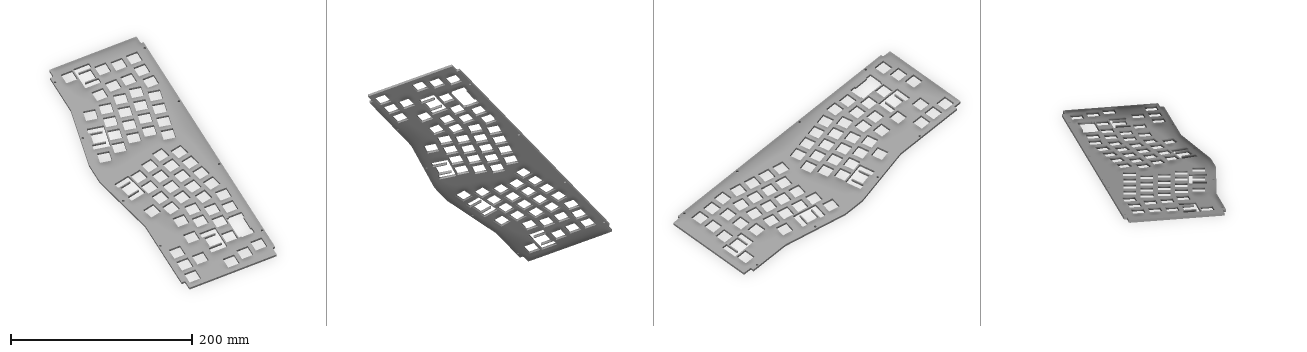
import cadquery as cq
import math


length = 348
width = 132.0
thickness = 3.0
tilt = 12
wing_axis_x = -19.5
front_tip_half_length = 13.5
front_slope_end = 92.5
ear_length = 10.8
rear_ear_step = 3.3
front_ear_step = 4.2
ear_fillet = 1.0

four_key_span = 76.2
pitch = four_key_span / 4
well_size = 14.0
home_row_from_rear = 57.5
raised_key_shift = 1.55
quarter_row = 0.25

slot_inner = 8.5
slot_outer = 15.3
slot_bar_end = 10.5
slot_far_end = 9.0
slot_fillet = 0.7
backspace_half_length = 16.5
backspace_lower_half_length = slot_outer
backspace_rear = 8.5
backspace_side_end = 7.5
backspace_front = 10.8
backspace_lip_half_length = 9.0

screw_diameter = 2.7
rear_screw_y = 63.5
front_screw_y = -47.0
tip_screw_y = -55.0
outer_left_screw_x = -155.2
inner_left_screw_x = -70.3
inner_right_screw_x = 30.0
rear_right_screw_x = 136.0
front_right_screw_x = 105.8

rear_y = width / 2
tip_y = -width / 2
home_row_y = rear_y - home_row_from_rear
front_y = tip_y + (front_slope_end - front_tip_half_length) * math.tan(math.radians(tilt))
end_x = length / 2


def row_y(rows_behind_home):
    return home_row_y + rows_behind_home * pitch


straight_rows = [
    (-147.5, 2, (0, 1)),
    (-147.0, 1, (0, 1.25)),
    (-149.0, 0, (0, 1.375)),
    (-117.5, -1, (0,)),
    (-155.2, -2, (0,)),
    (89.5, 2, (0,)),
    (84.2, 1, (0, 1, 2.25)),
    (74.0, 0, (0, 1)),
    (83.5, -1, (0, 1.375)),
    (151.7, 2 + quarter_row, (0,)),
    (156.0, 1 + quarter_row, (0,)),
    (160.0, 0 + quarter_row, (0,)),
    (141.0, -1 - quarter_row, (0,)),
    (122.0, -2 - quarter_row, (0, 1, 2)),
]
raised_key_from_axis = 90.0
shift_x = -148.0
enter_x = 124.2
backspace_x = 118.3

wing_corner_from_axis = 83.0
wing_corner_y = 27.0
left_wing_rows = [
    (1, 0.5, 4),
    (0, 0, 4),
    (-1, 0.25, 4),
    (-2, 0.75, 4),
    (-3, 1, 1),
    (-3, 4.25, 1),
]
right_wing_rows = [
    (1, 0.5, 4),
    (0, 0, 5),
    (-1, 0.75, 4),
    (-2, 0.5, 4),
    (-3, 1, 1),
]
space_row = -3
left_space_column = 2.75
right_space_column = 3.125


def plate():
    ear_x = end_x - ear_length
    ear_rear_y = rear_y - rear_ear_step
    ear_front_y = front_y + front_ear_step
    outline = [
        (-ear_x, rear_y),
        (ear_x, rear_y),
        (ear_x, ear_rear_y),
        (end_x, ear_rear_y),
        (end_x, ear_front_y),
        (ear_x, ear_front_y),
        (ear_x, front_y),
        (wing_axis_x + front_slope_end, front_y),
        (wing_axis_x + front_tip_half_length, tip_y),
        (wing_axis_x - front_tip_half_length, tip_y),
        (wing_axis_x - front_slope_end, front_y),
        (-ear_x, front_y),
        (-ear_x, ear_front_y),
        (-end_x, ear_front_y),
        (-end_x, ear_rear_y),
        (-ear_x, ear_rear_y),
    ]
    ear_band = cq.selectors.BoxSelector(
        (-length, ear_front_y - ear_fillet, 0),
        (length, ear_rear_y + ear_fillet, thickness),
    )
    body = cq.Workplane("XY").polyline(outline).close().extrude(thickness)
    return body.edges("|Z").edges(ear_band).fillet(ear_fillet)


def wells(points):
    return cq.Workplane("XY").pushPoints(points).rect(well_size, well_size).extrude(thickness)


def block(x0, y0, x1, y1):
    return cq.Workplane("XY").box(x1 - x0, y1 - y0, thickness, centered=False).translate((x0, y0, 0))


def stabilised_well():
    """Key well between two slots that a rear bar joins, leaving a tongue on each side of the well."""
    half = well_size / 2
    slots = block(-slot_outer, -slot_far_end, slot_outer, slot_bar_end)
    tongues = block(-slot_inner, -slot_far_end, slot_inner, half)
    rounded_slots = slots.cut(tongues).faces("<Y or >Y").edges("|Z").fillet(slot_fillet)
    return rounded_slots.union(block(-half, -half, half, half))


def backspace_well():
    """One wide opening with a shallow lip along its rear edge and a slightly narrower front."""
    half = well_size / 2
    upper = block(-backspace_half_length, -backspace_side_end, backspace_half_length, backspace_rear)
    lower = block(-backspace_lower_half_length, -backspace_front, backspace_lower_half_length, 0)
    rear_lip = block(-backspace_lip_half_length, half, backspace_lip_half_length, backspace_rear)
    upper = upper.faces(">Y").edges("|Z").fillet(slot_fillet)
    return upper.union(lower).cut(rear_lip)


def straight_wells():
    points = [
        (first_x + step * pitch, row_y(row))
        for first_x, row, steps in straight_rows
        for step in steps
    ]
    for side in (-1, 1):
        points.append((wing_axis_x + side * raised_key_from_axis, row_y(2) + raised_key_shift))
    return wells(points)


def wing_wells(rows, space_column, side):
    """Wing of keys in its own tilted frame; side is -1 for the left wing and 1 for the right."""
    points = [
        (-side * (column + i) * pitch, row * pitch)
        for row, column, count in rows
        for i in range(count)
    ]
    space = stabilised_well().translate((-side * space_column * pitch, space_row * pitch, 0))
    corner = (wing_axis_x + side * wing_corner_from_axis, wing_corner_y, 0)
    wing = wells(points).union(space)
    return wing.rotate((0, 0, 0), (0, 0, 1), side * tilt).translate(corner)


def turned_around(well):
    """Turns a stabilised well so that its bar runs along the front."""
    return well.rotate((0, 0, 0), (0, 0, 1), 180)


def screw_holes():
    points = [
        (outer_left_screw_x, rear_screw_y),
        (inner_left_screw_x, rear_screw_y),
        (inner_right_screw_x, rear_screw_y),
        (rear_right_screw_x, rear_screw_y),
        (outer_left_screw_x, front_screw_y),
        (front_right_screw_x, front_screw_y),
        (inner_left_screw_x, tip_screw_y),
        (inner_right_screw_x, tip_screw_y),
    ]
    return cq.Workplane("XY").pushPoints(points).circle(screw_diameter / 2).extrude(thickness)


result = (
    plate()
    .cut(straight_wells())
    .cut(wing_wells(left_wing_rows, left_space_column, -1))
    .cut(wing_wells(right_wing_rows, right_space_column, 1))
    .cut(turned_around(stabilised_well()).translate((shift_x, row_y(-1), 0)))
    .cut(stabilised_well().translate((enter_x, row_y(0), 0)))
    .cut(backspace_well().translate((backspace_x, row_y(2), 0)))
    .cut(screw_holes())
)